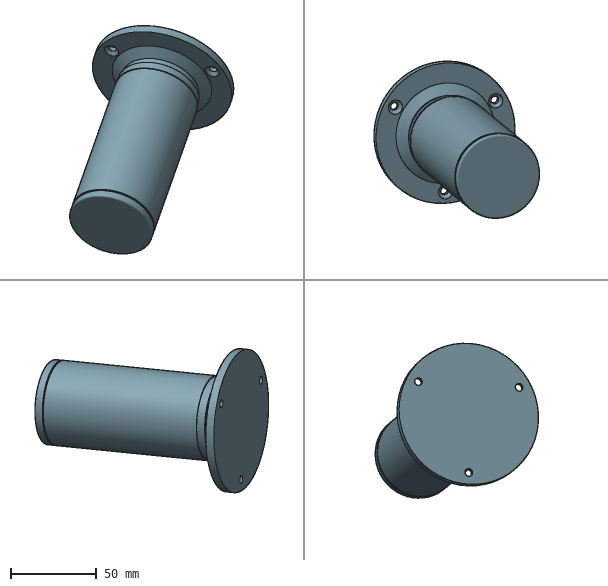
import cadquery as cq

FULL_TURN = 360.0

TOTAL_LENGTH = 120.0

FLANGE_DIAMETER = 84.0
FLANGE_THICKNESS = 5.0

CONE_BASE_DIAMETER = 60.0
CONE_HEIGHT = 4.0

NECK_DIAMETER = 47.0
NECK_LENGTH = 4.0

COLLAR_DIAMETER = 49.0
COLLAR_LENGTH = 5.0

BODY_DIAMETER = 50.0

CAP_LENGTH = 5.0
CAP_EDGE_RADIUS = 1.0
GROOVE_WIDTH = 0.5
GROOVE_DEPTH = 0.5

SCREW_COUNT = 3
SCREW_CIRCLE_DIAMETER = 70.0
SCREW_FIRST_ANGLE = -90.0
SCREW_HOLE_DIAMETER = 4.5
COUNTERSINK_DIAMETER = 8.5
COUNTERSINK_ANGLE = 90.0

CONE_END = FLANGE_THICKNESS + CONE_HEIGHT
NECK_END = CONE_END + NECK_LENGTH
COLLAR_END = NECK_END + COLLAR_LENGTH
CAP_START = TOTAL_LENGTH - CAP_LENGTH
GROOVE_START = CAP_START - GROOVE_WIDTH


def along_axis(diameter, start, end):
    """Solid cylinder on the part axis between two distances from the mounting face."""
    return (
        cq.Workplane("XZ", origin=(0, -start, 0))
        .circle(diameter / 2)
        .extrude(end - start)
    )


def flange_cone():
    """Cone that tapers from the flange face down to the neck."""
    profile = [
        (0, -FLANGE_THICKNESS),
        (CONE_BASE_DIAMETER / 2, -FLANGE_THICKNESS),
        (NECK_DIAMETER / 2, -CONE_END),
        (0, -CONE_END),
    ]
    return cq.Workplane("XY").polyline(profile).close().revolve(FULL_TURN, (0, 0, 0), (0, 1, 0))


def end_cap():
    """Cap at the free end with a rounded rim."""
    cap = along_axis(BODY_DIAMETER, CAP_START, TOTAL_LENGTH)
    return cap.faces("<Y").edges().fillet(CAP_EDGE_RADIUS)


def leg():
    """Neck, collar, body and cap, with a thin groove between body and cap."""
    groove_floor_diameter = BODY_DIAMETER - 2 * GROOVE_DEPTH
    return (
        along_axis(NECK_DIAMETER, CONE_END, NECK_END)
        .union(along_axis(COLLAR_DIAMETER, NECK_END, COLLAR_END))
        .union(along_axis(BODY_DIAMETER, COLLAR_END, GROOVE_START))
        .union(along_axis(groove_floor_diameter, GROOVE_START, CAP_START))
        .union(end_cap())
    )


def drill_screw_holes(part):
    """Countersunk through holes, evenly spaced on the flange, sunk from the leg side."""
    return (
        part.copyWorkplane(cq.Workplane("XZ", origin=(0, -FLANGE_THICKNESS, 0)))
        .polarArray(SCREW_CIRCLE_DIAMETER / 2, SCREW_FIRST_ANGLE, FULL_TURN, SCREW_COUNT)
        .cskHole(SCREW_HOLE_DIAMETER, COUNTERSINK_DIAMETER, COUNTERSINK_ANGLE, FLANGE_THICKNESS)
    )


flange = along_axis(FLANGE_DIAMETER, 0, FLANGE_THICKNESS)
result = drill_screw_holes(flange).union(flange_cone()).union(leg())